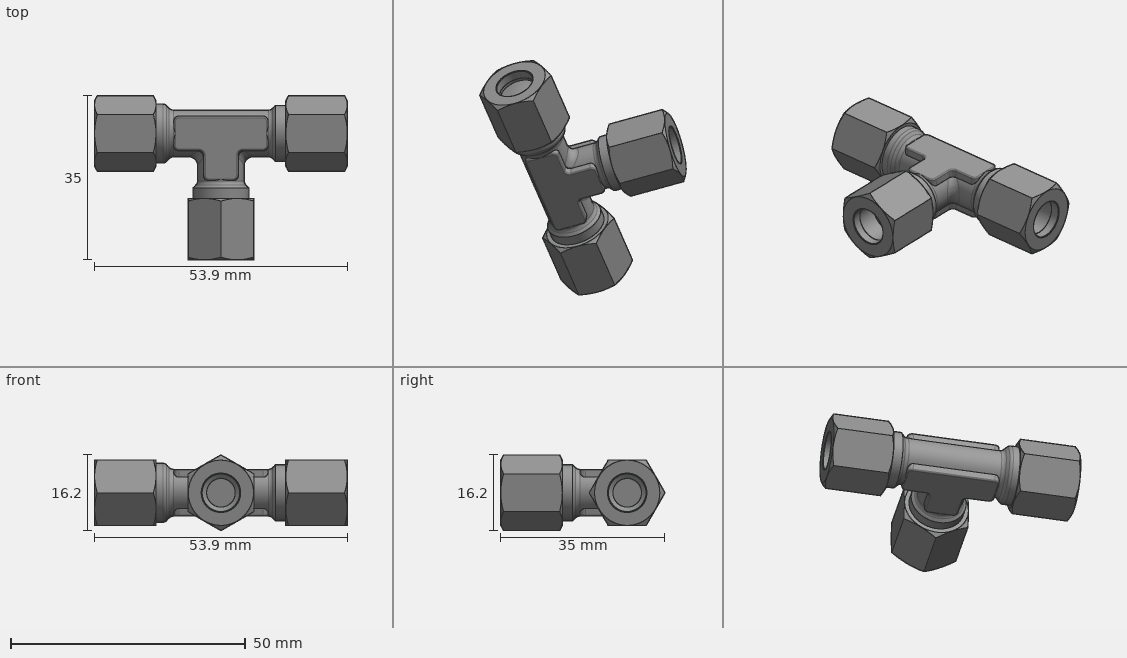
import cadquery as cq
import math

ARM_REACH = 26.95
RIGHT_TURN = 0
LEFT_TURN = 180
STEM_TURN = -90

CORE_R = 5.0
CROTCH_FILLET = 1.75
CROTCH_HALF_HEIGHT = 3.3
PAD_HALF_WIDTH = 3.6
PAD_END = 10.0
PAD_ROOT_Z = 2.5
PAD_CORNER_R = 1.3
PAD_CROTCH_R = 0.85
PAD_DRAFT = 5.0
PAD_EDGE_FILLET = 0.3

NECK_START = 10.1
NECK_FILLET = 1.3
COLLAR_R = 6.0
SWIVEL_COLLAR_R = 6.3
SWIVEL_COLLAR_ROUND = 1.0
CONE_ANGLE = math.radians(45)

NUT_FLATS = 14.0
NUT_LENGTH = 13.15
RUN_HEX_TURN = 0
STEM_HEX_TURN = 30
NUT_FACE_R = 6.95
NUT_CHAMFER_ANGLE = math.radians(28)
NUT_LIP = 2.0
NUT_BORE_R = 4.05
NUT_MOUTH_CHAMFER = 0.15
NUT_CORNER_R = NUT_FLATS / 2 / math.cos(math.pi / 6)
NUT_INNER_FACE = ARM_REACH - NUT_LENGTH
CAVITY_END = ARM_REACH - NUT_LIP

SPIGOT_R = COLLAR_R
RING_LENGTH = 4.5
RING_BORE_R = 4.0
SPIGOT_END = CAVITY_END - RING_LENGTH
SOCKET_FLOOR_R = 3.05
SOCKET_HALF_ANGLE = math.radians(60)
PLUG_RIM_DEPTH = 0.6
PLUG_DOME_HEIGHT = 0.45


def spin(profile):
    """Revolve a closed profile, drawn as axial position and radius, about the X axis."""
    return profile.close().revolve(360, (0, 0, 0), (1, 0, 0))


def turned(part, angle):
    """Swing a part built along +X to the arm at the given angle about Z."""
    return part.rotate((0, 0, 0), (0, 0, 1), angle)


def fillet_span(radius):
    """Axial and radial extent of a round that bends from the axis direction to the cone."""
    return radius * math.sin(CONE_ANGLE), radius * (1 - math.cos(CONE_ANGLE))


def arc_middle(radius):
    """Axial and radial offset, from the level end, of the middle of such a round."""
    return radius * math.sin(CONE_ANGLE / 2), radius * (1 - math.cos(CONE_ANGLE / 2))


def collar(collar_r, edge_round):
    """One arm's neck, collar and spigot; an edge_round of 0 leaves the collar edge sharp."""
    neck_dx, neck_dr = fillet_span(NECK_FILLET)
    neck_mid_dx, neck_mid_dr = arc_middle(NECK_FILLET)
    edge_dx, edge_dr = fillet_span(edge_round)
    cone_start = (NECK_START + neck_dx, CORE_R + neck_dr)
    cone_end_r = collar_r - edge_dr
    cone_end_x = cone_start[0] + (cone_end_r - cone_start[1]) / math.tan(CONE_ANGLE)
    profile = (
        cq.Workplane("XY")
        .moveTo(NECK_START, 0)
        .lineTo(NECK_START, CORE_R)
        .threePointArc((NECK_START + neck_mid_dx, CORE_R + neck_mid_dr), cone_start)
        .lineTo(cone_end_x, cone_end_r)
    )
    if edge_round > 0:
        edge_mid_dx, edge_mid_dr = arc_middle(edge_round)
        edge_x = cone_end_x + edge_dx
        profile = profile.threePointArc((edge_x - edge_mid_dx, collar_r - edge_mid_dr), (edge_x, collar_r))
    profile = profile.lineTo(NUT_INNER_FACE, collar_r)
    if collar_r > SPIGOT_R:
        profile = profile.lineTo(NUT_INNER_FACE, SPIGOT_R)
    return spin(profile.lineTo(SPIGOT_END, SPIGOT_R).lineTo(SPIGOT_END, 0))


def tube_socket():
    """Blind conical socket that opens at the spigot end."""
    depth = (RING_BORE_R - SOCKET_FLOOR_R) / math.tan(SOCKET_HALF_ANGLE)
    floor = SPIGOT_END - depth
    return spin(
        cq.Workplane("XY")
        .moveTo(floor, 0)
        .lineTo(floor, SOCKET_FLOOR_R)
        .lineTo(SPIGOT_END, RING_BORE_R)
        .lineTo(SPIGOT_END, 0)
    )


def pad():
    """Drafted T-shaped pad with a flat top level with the crown of the round arms."""
    height = CORE_R - PAD_ROOT_Z
    spread = height * math.tan(math.radians(PAD_DRAFT))
    half = PAD_HALF_WIDTH + spread
    end = PAD_END + spread
    outline = (
        cq.Sketch()
        .rect(2 * end, 2 * half)
        .push([(0, -end / 2)])
        .rect(2 * half, end)
        .clean()
        .reset()
        .vertices("<X or >X or <Y")
        .fillet(PAD_CORNER_R)
        .reset()
    )
    for side in (-1, 1):
        inside_corner = cq.selectors.NearestToPointSelector((side * half, -half, 0))
        outline = outline.vertices(inside_corner).fillet(PAD_CROTCH_R).reset()
    block = (
        cq.Workplane("XY", origin=(0, 0, PAD_ROOT_Z))
        .placeSketch(outline)
        .extrude(height, taper=PAD_DRAFT)
    )
    return block.faces(">Z").edges().fillet(PAD_EDGE_FILLET)


def core():
    """Crossing round arms with a pad above and below and filleted crotches."""
    run = cq.Workplane("YZ", origin=(-NECK_START, 0, 0)).circle(CORE_R).extrude(2 * NECK_START)
    stem = cq.Workplane("XZ").circle(CORE_R).extrude(NECK_START)
    arms = run.union(stem)
    slab = cq.Workplane("XY").box(2 * NECK_START, 2 * NECK_START, 2 * CROTCH_HALF_HEIGHT)
    crotches = arms.intersect(slab)
    for side in (-1, 1):
        crotch_edge = cq.selectors.NearestToPointSelector((side * CORE_R, -CORE_R, 0))
        crotches = crotches.edges(crotch_edge).fillet(CROTCH_FILLET)
    top_pad = pad()
    bottom_pad = top_pad.mirror("XY")
    return arms.union(crotches).union(top_pad).union(bottom_pad)


def tee_body():
    """Core with its three collared arms; the left arm is solid, the others have sockets."""
    body = core()
    plain_collar = collar(COLLAR_R, 0)
    body = body.union(turned(collar(SWIVEL_COLLAR_R, SWIVEL_COLLAR_ROUND), LEFT_TURN))
    for angle in (RIGHT_TURN, STEM_TURN):
        body = body.union(turned(plain_collar, angle)).cut(turned(tube_socket(), angle))
    return body


def nut(hex_turn):
    """Chamfered hexagon nut for an arm along +X; hex_turn 0 puts two corners in the XY plane."""
    blank = (
        cq.Workplane("YZ", origin=(NUT_INNER_FACE, 0, 0))
        .polygon(6, 2 * NUT_CORNER_R)
        .extrude(NUT_LENGTH)
        .rotate((0, 0, 0), (1, 0, 0), hex_turn)
    )
    chamfer = (NUT_CORNER_R - NUT_FACE_R) * math.tan(NUT_CHAMFER_ANGLE)
    envelope = spin(
        cq.Workplane("XY")
        .moveTo(NUT_INNER_FACE, 0)
        .lineTo(NUT_INNER_FACE, NUT_FACE_R)
        .lineTo(NUT_INNER_FACE + chamfer, NUT_CORNER_R)
        .lineTo(ARM_REACH - chamfer, NUT_CORNER_R)
        .lineTo(ARM_REACH, NUT_FACE_R)
        .lineTo(ARM_REACH, 0)
    )
    hollow = spin(
        cq.Workplane("XY")
        .moveTo(NUT_INNER_FACE, 0)
        .lineTo(NUT_INNER_FACE, SPIGOT_R)
        .lineTo(CAVITY_END, SPIGOT_R)
        .lineTo(CAVITY_END, NUT_BORE_R)
        .lineTo(ARM_REACH - NUT_MOUTH_CHAMFER, NUT_BORE_R)
        .lineTo(ARM_REACH, NUT_BORE_R + NUT_MOUTH_CHAMFER)
        .lineTo(ARM_REACH, 0)
    )
    return blank.intersect(envelope).cut(hollow)


def clamping_ring():
    """Plain ring between the spigot end and the nut lip."""
    return (
        cq.Workplane("YZ", origin=(SPIGOT_END, 0, 0))
        .circle(SPIGOT_R)
        .circle(RING_BORE_R)
        .extrude(RING_LENGTH)
    )


def closing_plug():
    """Solid plug with a raised rim around a shallow domed face."""
    rim_base = CAVITY_END - PLUG_RIM_DEPTH
    dome_top = rim_base + PLUG_DOME_HEIGHT
    dome_r = (RING_BORE_R**2 + PLUG_DOME_HEIGHT**2) / (2 * PLUG_DOME_HEIGHT)
    half_sweep = math.asin(RING_BORE_R / dome_r) / 2
    dome_mid = (dome_top - dome_r * (1 - math.cos(half_sweep)), dome_r * math.sin(half_sweep))
    return spin(
        cq.Workplane("XY")
        .moveTo(SPIGOT_END, 0)
        .lineTo(SPIGOT_END, SPIGOT_R)
        .lineTo(CAVITY_END, SPIGOT_R)
        .lineTo(CAVITY_END, RING_BORE_R)
        .lineTo(rim_base, RING_BORE_R)
        .threePointArc(dome_mid, (dome_top, 0))
    )


body = tee_body()

nut_turns = (
    (RIGHT_TURN, RUN_HEX_TURN),
    (LEFT_TURN, RUN_HEX_TURN),
    (STEM_TURN, STEM_HEX_TURN),
)
nuts = []
for arm_turn, hex_turn in nut_turns:
    nuts.append(turned(nut(hex_turn), arm_turn).val())

rings = []
for arm_turn in (RIGHT_TURN, STEM_TURN):
    rings.append(turned(clamping_ring(), arm_turn).val())

plug = turned(closing_plug(), LEFT_TURN)

result = cq.Compound.makeCompound([body.val(), *nuts, *rings, plug.val()])